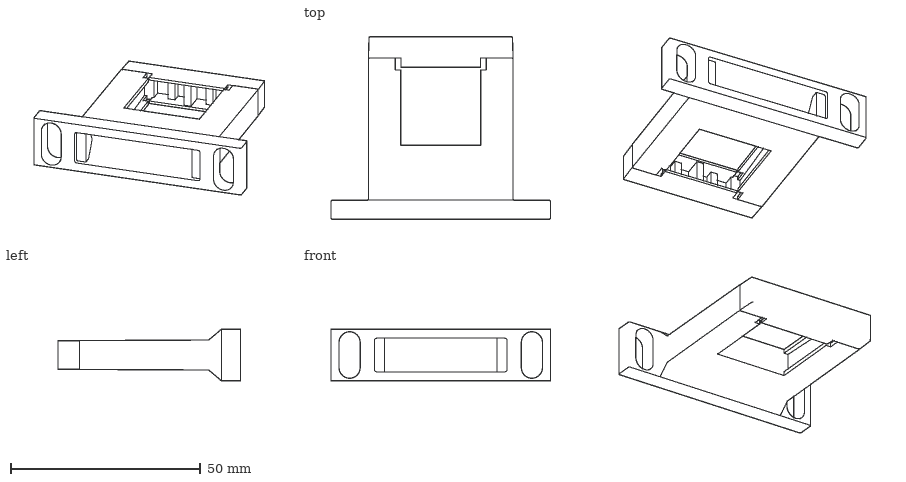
import cadquery as cq
import math

PLATE_WIDTH = 57.98
PLATE_HEIGHT = 13.6
PLATE_THICKNESS = 5.1
PLATE_EDGE_RADIUS = 0.45

SLOT_DIAMETER = 5.5
SLOT_HEIGHT = 12.2
SLOT_OFFSET = 24.05

REBATE_WIDTH = 35.0
REBATE_HEIGHT = 8.85
REBATE_DEPTH = 1.35
REBATE_CORNER_RADIUS = 0.6
FUNNEL_WIDTH = 29.7
FUNNEL_BEND_Y = 3.6
FUNNEL_WALL_ANGLE = 56.5
FUNNEL_BEND_RADIUS = 0.35
FUNNEL_TIP_RADIUS = 0.55

FRAME_WIDTH = 38.25
FRAME_FRONT_HEIGHT = 7.96
FRAME_BACK_HEIGHT = 7.7
FRAME_BACK_Y = 42.55
FLARE_END_Y = 8.45
FLARE_RADIUS = 0.25
JOINT_RADIUS = 0.3
FRAME_ROOT_RADIUS = 0.2

WINDOW_WIDTH = 21.1
WINDOW_FRONT_Y = 19.6
FRAME_SKIN = 1.2
HOLLOW_FRONT_WIDTH = 23.6
HOLLOW_BACK_WIDTH = 25.4
NOTCH_SPAN = 24.0
NOTCH_DEPTH = 3.1

CAP_BACK_Y = 48.25
CAP_HEIGHT = 7.6
CAP_BACK_WIDTH = 37.9
CAP_BACK_CORNER_RADIUS = 0.4
CAP_BACK_EDGE_RADIUS = 0.2
CAP_SKIN = 0.75
CAP_LIP_LENGTH = 2.45
CAP_CAVITY_WIDTH = 20.1
CAP_CAVITY_BACK_Y = 45.5

RIB_WIDTH = 1.9
RIB_SPACING = 5.3
CENTER_RIB_SETBACK = 0.5
SIDE_RIB_SETBACK = 0.45


def block(width, y_start, y_end, height):
    """Box centred on X and Z that spans the given Y range."""
    depth = y_end - y_start
    return cq.Workplane("XY").box(width, depth, height).translate((0, (y_start + y_end) / 2, 0))


def tapered_block(front_width, back_width, y_start, y_end, height):
    """Block centred on X and Z whose width changes evenly from front to back."""
    outline = [
        (-front_width / 2, y_start),
        (front_width / 2, y_start),
        (back_width / 2, y_end),
        (-back_width / 2, y_end),
    ]
    return cq.Workplane("XY").polyline(outline).close().extrude(height / 2, both=True)


def side_extrusion(points, width):
    """Closed (Y, Z) outline extruded evenly to both sides of X = 0."""
    return cq.Workplane("YZ").polyline(points).close().extrude(width / 2, both=True)


def edges_at_depth(y):
    """Selector for the edges whose middle lies at the given Y."""
    reach = PLATE_WIDTH
    margin = 0.01
    return cq.selectors.BoxSelector((-reach, y - margin, -reach), (reach, y + margin, reach))


def make_plate():
    plate = block(PLATE_WIDTH, 0, PLATE_THICKNESS, PLATE_HEIGHT)
    return plate.edges("|Z").fillet(PLATE_EDGE_RADIUS)


def frame_plan():
    """Column with the frame's outline from above, flaring in two arcs where it meets the plate."""
    half_width = FRAME_WIDTH / 2
    root_half_width = half_width + FRAME_ROOT_RADIUS
    root_end_y = PLATE_THICKNESS + FRAME_ROOT_RADIUS
    arc_reach = FRAME_ROOT_RADIUS * (1 - math.sin(math.radians(45)))
    arc_y = PLATE_THICKNESS + arc_reach
    return (
        cq.Workplane("XY")
        .moveTo(-root_half_width, PLATE_THICKNESS)
        .lineTo(root_half_width, PLATE_THICKNESS)
        .threePointArc((half_width + arc_reach, arc_y), (half_width, root_end_y))
        .lineTo(half_width, FRAME_BACK_Y)
        .lineTo(-half_width, FRAME_BACK_Y)
        .lineTo(-half_width, root_end_y)
        .threePointArc((-half_width - arc_reach, arc_y), (-root_half_width, PLATE_THICKNESS))
        .close()
        .extrude(PLATE_HEIGHT / 2, both=True)
    )


def make_frame():
    upper = [
        (PLATE_THICKNESS, PLATE_HEIGHT / 2),
        (FLARE_END_Y, FRAME_FRONT_HEIGHT / 2),
        (FRAME_BACK_Y, FRAME_BACK_HEIGHT / 2),
    ]
    lower = [(y, -z) for y, z in reversed(upper)]
    frame = side_extrusion(upper + lower, PLATE_WIDTH)
    frame = frame.edges(edges_at_depth(FLARE_END_Y)).fillet(FLARE_RADIUS)
    frame = frame.intersect(frame_plan())
    return frame.edges("|Z and >Y").fillet(JOINT_RADIUS)


def make_cap():
    cap = tapered_block(FRAME_WIDTH, CAP_BACK_WIDTH, FRAME_BACK_Y, CAP_BACK_Y, CAP_HEIGHT)
    cap = cap.edges("|Z and <Y").fillet(JOINT_RADIUS)
    cap = cap.edges("|Z and >Y").fillet(CAP_BACK_CORNER_RADIUS)
    back_rounding = block(FRAME_WIDTH, FRAME_BACK_Y, CAP_BACK_Y, CAP_HEIGHT)
    back_rounding = back_rounding.edges("|X and >Y").fillet(CAP_BACK_EDGE_RADIUS)
    cap = cap.intersect(back_rounding)
    lip = block(WINDOW_WIDTH, FRAME_BACK_Y - CAP_LIP_LENGTH, FRAME_BACK_Y, CAP_HEIGHT)
    return cap.union(lip)


def make_screw_slots():
    return (
        cq.Workplane("XZ")
        .pushPoints([(-SLOT_OFFSET, 0), (SLOT_OFFSET, 0)])
        .slot2D(SLOT_HEIGHT, SLOT_DIAMETER, 90)
        .extrude(-PLATE_THICKNESS)
    )


def make_front_opening():
    rebate = block(REBATE_WIDTH, 0, REBATE_DEPTH, REBATE_HEIGHT)
    rebate = rebate.edges("|Y").fillet(REBATE_CORNER_RADIUS)
    half_height = REBATE_HEIGHT / 2
    tip_y = FUNNEL_BEND_Y + half_height / math.tan(math.radians(FUNNEL_WALL_ANGLE))
    outline = [
        (0, half_height),
        (FUNNEL_BEND_Y, half_height),
        (tip_y, 0),
        (FUNNEL_BEND_Y, -half_height),
        (0, -half_height),
    ]
    funnel = side_extrusion(outline, FUNNEL_WIDTH)
    funnel = funnel.edges("|X and >Y").fillet(FUNNEL_TIP_RADIUS)
    funnel = funnel.edges(edges_at_depth(FUNNEL_BEND_Y)).fillet(FUNNEL_BEND_RADIUS)
    return rebate.union(funnel)


def make_frame_window():
    window = block(WINDOW_WIDTH, WINDOW_FRONT_Y, FRAME_BACK_Y, FRAME_FRONT_HEIGHT)
    notches = block(NOTCH_SPAN, FRAME_BACK_Y - NOTCH_DEPTH, FRAME_BACK_Y, FRAME_FRONT_HEIGHT)
    hollow_height = FRAME_FRONT_HEIGHT - 2 * FRAME_SKIN
    hollow = tapered_block(
        HOLLOW_FRONT_WIDTH, HOLLOW_BACK_WIDTH, WINDOW_FRONT_Y, FRAME_BACK_Y, hollow_height
    )
    return window.union(notches).union(hollow)


def make_cap_cavity():
    cavity_height = CAP_HEIGHT - 2 * CAP_SKIN
    lip_front_y = FRAME_BACK_Y - CAP_LIP_LENGTH
    between_lips = block(WINDOW_WIDTH, lip_front_y, FRAME_BACK_Y, cavity_height)
    cavity = block(CAP_CAVITY_WIDTH, FRAME_BACK_Y, CAP_CAVITY_BACK_Y, cavity_height)
    cavity = cavity.union(between_lips)
    for x in (-RIB_SPACING, 0, RIB_SPACING):
        if x == 0:
            rib_front_y = lip_front_y + CENTER_RIB_SETBACK
        else:
            rib_front_y = FRAME_BACK_Y + SIDE_RIB_SETBACK
        rib = block(RIB_WIDTH, rib_front_y, CAP_CAVITY_BACK_Y, cavity_height)
        cavity = cavity.cut(rib.translate((x, 0, 0)))
    return cavity


frame = make_frame().cut(make_frame_window())
cap = make_cap().cut(make_cap_cavity())
front = make_plate().union(frame).cut(make_screw_slots()).cut(make_front_opening())
result = front.union(cap)